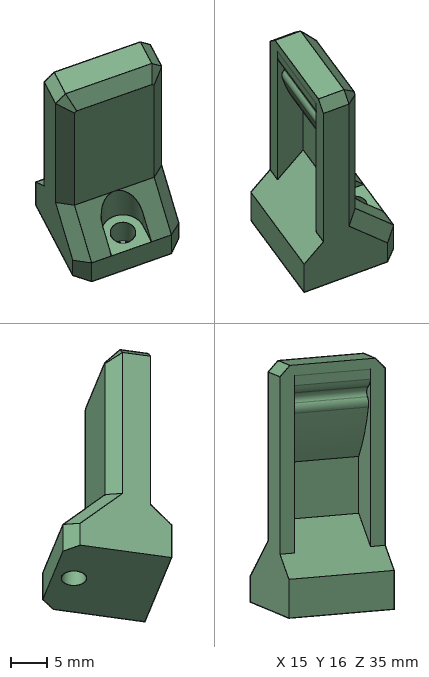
import cadquery as cq

length = 15.0
width = 16.0
height = 35.0

wall_front = 3.0
wall_back = 9.0
foot_front_height = 5.5
foot_back_height = 4.5
corner_chamfer = 1.5
back_chamfer = 2.0

pocket_width = 11.5
pocket_back = 7.0
pocket_top = 33.5
ramp_top = foot_front_height + pocket_back

bulge_start = (pocket_back, 20.5)
bulge_middle = (4.97, 24.3)
bulge_end = (3.75, 28.05)
nose_peak = (3.68, 28.35)
nose_end = (4.05, 29.45)
groove_bottom = (4.3, 30.05)
groove_end = (3.8, 30.9)
lip_middle = (3.32, 31.35)
lip_end = (3.05, 32.1)

hole_diameter = 3.5
seat_diameter = 6.02
hole_x = wall_back + seat_diameter / 2
seat_height = foot_back_height

margin = 0.35


def make_body():
    """Extrude the side outline, then bevel the wall corners and the back rim."""
    body = (
        cq.Workplane("XZ")
        .polyline([
            (0, 0),
            (length, 0),
            (length, foot_back_height),
            (wall_back, foot_back_height + length - wall_back),
            (wall_back, height),
            (wall_front, height),
            (wall_front, foot_front_height + wall_front),
            (0, foot_front_height),
        ])
        .close()
        .extrude(width / 2, both=True)
    )
    body = body.edges("|X and >Z").chamfer(corner_chamfer)
    rim = cq.selectors.BoxSelector(
        (wall_back - margin, -width, margin), (length + margin, width, height + margin)
    )
    crossing = cq.selectors.ParallelDirSelector(cq.Vector(0, 1, 0))
    top_edge = cq.selectors.BoxSelector(
        (wall_back - margin, -width, height - margin), (wall_back + margin, width, height + margin)
    )
    return body.edges((rim - crossing) + top_edge).chamfer(back_chamfer)


def make_pocket():
    """Pocket with a ramped floor and a bulge, groove and lip on its back."""
    return (
        cq.Workplane("XZ")
        .moveTo(0, foot_front_height)
        .lineTo(pocket_back, ramp_top)
        .lineTo(*bulge_start)
        .threePointArc(bulge_middle, bulge_end)
        .threePointArc(nose_peak, nose_end)
        .threePointArc(groove_bottom, groove_end)
        .threePointArc(lip_middle, lip_end)
        .lineTo(wall_front, pocket_top)
        .lineTo(0, pocket_top)
        .close()
        .extrude(pocket_width / 2, both=True)
    )


def make_screw_cut():
    """Through hole with a flat, round-ended seat open towards the back."""
    seat_depth = height - seat_height
    seat = (
        cq.Workplane("XY", origin=(hole_x, 0, seat_height))
        .circle(seat_diameter / 2)
        .extrude(seat_depth)
    )
    opening = (
        cq.Workplane("XY", origin=(hole_x, 0, seat_height))
        .box(length, seat_diameter, seat_depth, centered=(False, True, False))
    )
    hole = cq.Workplane("XY").center(hole_x, 0).circle(hole_diameter / 2).extrude(height)
    return seat.union(opening).union(hole)


result = make_body().cut(make_pocket()).cut(make_screw_cut())